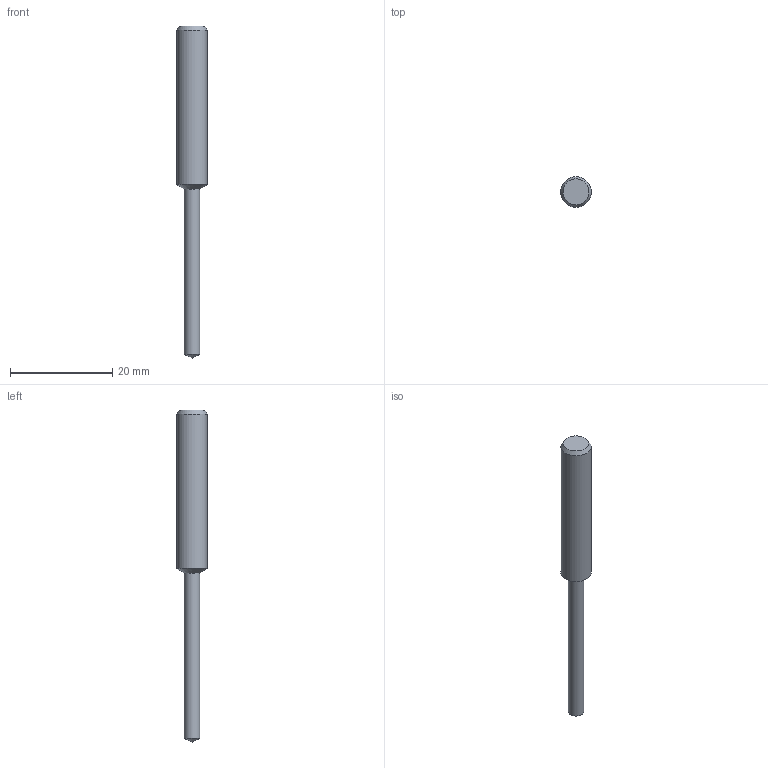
import cadquery as cq
import math

overall_length = 65.0
shank_diameter = 6.0
drill_diameter = 3.0
drill_length = 33.0
shoulder_height = 1.0
tip_point_angle = 130.0
end_chamfer_height = 0.8
end_chamfer_angle = 30.0

shank_radius = shank_diameter / 2
drill_radius = drill_diameter / 2
shank_cylinder_bottom = drill_length + shoulder_height
tip_height = drill_radius / math.tan(math.radians(tip_point_angle / 2))
end_chamfer_width = end_chamfer_height * math.tan(math.radians(end_chamfer_angle))


def revolve_profile(points):
    """Revolve a closed radius-height profile a full turn about the Z axis."""
    return cq.Workplane("XZ").polyline(points).close().revolve(360, (0, 0, 0), (0, 1, 0))


def make_shank():
    """Cylindrical shank with a bevelled free end and a conical shoulder."""
    return revolve_profile([
        (0, drill_length),
        (drill_radius, drill_length),
        (shank_radius, shank_cylinder_bottom),
        (shank_radius, overall_length - end_chamfer_height),
        (shank_radius - end_chamfer_width, overall_length),
        (0, overall_length),
    ])


def make_drill():
    """Slender round drill with a conical tip, butted against the shoulder."""
    return revolve_profile([
        (0, 0),
        (drill_radius, tip_height),
        (drill_radius, drill_length),
        (0, drill_length),
    ])


shank = make_shank()
drill = make_drill()

result = cq.Compound.makeCompound([shank.val(), drill.val()])